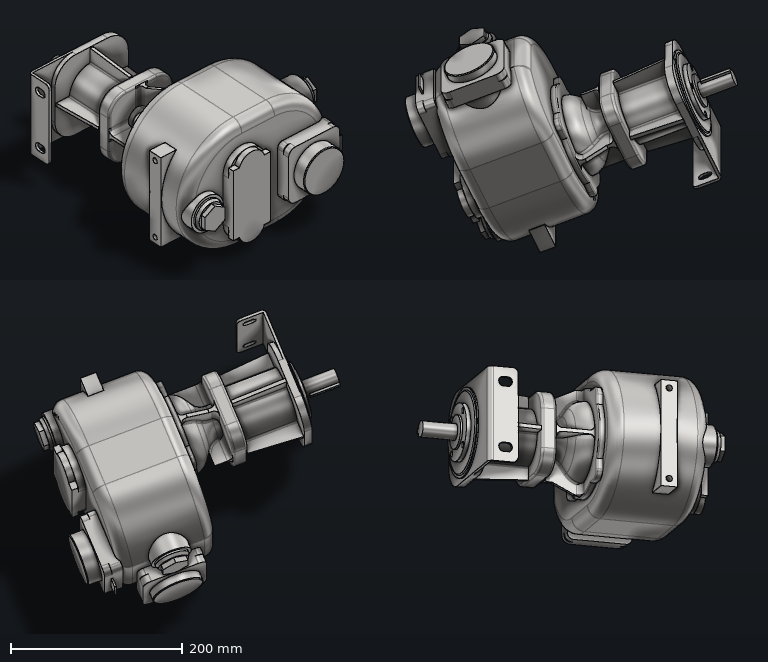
import cadquery as cq
import math

OVERLAP = 3.5
TOLERANCE = 0.2

SHAFT_RADIUS = 10.0
SHAFT_END = 43.5
KEY_LENGTH = 38.0
KEY_WIDTH = 6.2
KEY_TOP = 12.5
SEAL_START, SEAL_RADIUS = 42.5, 20.5
COVER_START, COVER_RADIUS = 45.0, 34.5
DISC_START, DISC_RADIUS, DISC_CHAMFER = 50.5, 51.5, 3.0
LIP_START, LIP_RADIUS = 52.0, 53.5
COVER_HOLE_SPACING = 41.5
COVER_HOLE_RADIUS = 3.5

BRACKET_START = 54.0
SHEET = 3.5
BRACKET_HEIGHT = 115.0
BEND_RADIUS = 6.0
FOOT_Y = -90.2
FOOT_END = 90.2
BRACKET_CORNER = 32.7
FOOT_CORNER = 6.5
SLOT_X, SLOT_SPACING = 74.5, 79.5
SLOT_LENGTH, SLOT_WIDTH = 16.5, 11.3

REAR_FLANGE_END = 63.5
BARREL_RADIUS = 35.0
RIB_WIDTH = 4.7
RIB_FILLET = 2.2
RIB_ROOT = 55.5
COLLAR_START, COLLAR_END = 132.0, 150.5
COLLAR_SIDE, COLLAR_CORNER, COLLAR_EDGE = 101.0, 26.5, 3.0

NECK_RADIUS = 22.0
NECK_END = 157.5
CONE_START, CONE_END = (171.5, 29.0), (178.3, 39.0)
FLARE_START, FLARE_END, FLARE_HEIGHT = 161.0, 188.5, 63.3
SHORT_RIB_END = 173.5
ADAPTER_FLANGE_START = 198.0
ADAPTER_EDGE = 1.5
ADAPTER_RADIUS = 65.0
ADAPTER_SIDE, ADAPTER_CORNER = 112.5, 11.0
BELL_RADIUS = 50.0
ADAPTER_RIB_FILLET = 3.0
RIB_END_ROUND = 7.0

TANK_START, TANK_END = 205.5, 326.7
TANK_HEIGHT = 178.0
TANK_RADIUS = TANK_HEIGHT / 2
TANK_FACE_Y = 136.8
TOP_ARC_Y, BOTTOM_ARC_Y = 51.3, 56.8
TANK_EDGE = 15.3

BAR_START, BAR_WIDTH = 266.0, 20.0
BAR_TOP, BAR_BOTTOM = 59.5, -69.0
BAR_DEPTH = 32.7
BAR_HOLE_INSET, BAR_HOLE_RADIUS, BAR_HOLE_DEPTH = 9.5, 3.5, 14.5

PORT_SIDE, PORT_RADIUS = 80.0, 31.5
INNER_CORNER, OUTER_CORNER = 7.5, 10.5
PORT_RIM = 1.0
OUTLET_X, OUTLET_Z = 265.5, -36.0
OUTLET_FLANGE_START, OUTLET_SEAM, OUTLET_FLANGE_END, OUTLET_TIP = 134.0, 145.5, 155.5, 166.0
INLET_Y, INLET_Z = 96.0, -7.3
INLET_SEAM, INLET_FLANGE_END, INLET_TIP = 337.0, 346.0, 363.8
PORT_ROOT = 25.5

TAB_X, TAB_SHEET, TAB_HEIGHT, TAB_TIP_Y = 335.8, 2.2, 29.0, 147.0

PLUG_NECK_RADIUS = 25.0
PLUG_RADIUS, PLUG_RIM, PLUG_TIP_RADIUS, PLUG_HEIGHT = 21.0, 2.5, 19.0, 7.0
HEX_FLATS, HEX_HEIGHT = 31.3, 6.5
FILLER_Z, FILLER_NECK_END = 28.5, 144.5
DRAIN_Y, DRAIN_NECK_END = -62.0, 335.8
PLUG_NECK_ROOT = 43.5

PAD_WIDTH, PAD_HEIGHT, PAD_STEP, PAD_END = 58.2, 129.0, 336.0, 344.5
PAD_TONGUE_WIDTH, PAD_SHOULDER_HEIGHT = 40.7, 100.5


def along_x(start, y=0.0, z=0.0):
    """Sketch plane facing +X: local x is Y and local y is Z."""
    return cq.Workplane("YZ", origin=(start, y, z))


def along_y(start, x, z):
    """Sketch plane facing +Y: local x is -X and local y is Z."""
    return cq.Workplane(cq.Plane(origin=(x, start, z), xDir=(-1, 0, 0), normal=(0, 1, 0)))


def cylinder(start, end, radius):
    return along_x(start).circle(radius).extrude(end - start)


def rounded_square(start, end, side, corner):
    return along_x(start).rect(side, side).extrude(end - start).edges("|X").fillet(corner)


def shaft_and_cover():
    key = cq.Workplane("XY").box(KEY_LENGTH, KEY_TOP, KEY_WIDTH, centered=(False, False, True))
    disc = cylinder(DISC_START, BRACKET_START, DISC_RADIUS).faces("<X").chamfer(DISC_CHAMFER)
    lip = cylinder(LIP_START, BRACKET_START, LIP_RADIUS)
    cover = cylinder(COVER_START, DISC_START, COVER_RADIUS)
    holes = (
        along_x(COVER_START)
        .rect(COVER_HOLE_SPACING, COVER_HOLE_SPACING, forConstruction=True)
        .vertices()
        .circle(COVER_HOLE_RADIUS)
        .extrude(DISC_START - COVER_START)
    )
    body = cylinder(0, SHAFT_END, SHAFT_RADIUS).union(key)
    body = body.union(cylinder(SEAL_START, COVER_START, SEAL_RADIUS))
    return body.union(cover.cut(holes)).union(disc).union(lip)


def bracket():
    half = BRACKET_HEIGHT / 2
    plate_width = half - FOOT_Y
    plate = (
        along_x(BRACKET_START, y=FOOT_Y)
        .rect(plate_width, BRACKET_HEIGHT, centered=(False, True))
        .extrude(SHEET)
        .edges("|X and >Y")
        .fillet(BRACKET_CORNER)
    )
    foot = (
        cq.Workplane("XY", origin=(BRACKET_START, FOOT_Y, -half))
        .box(FOOT_END - BRACKET_START, SHEET, BRACKET_HEIGHT, centered=False)
        .edges("|Y and >X")
        .fillet(FOOT_CORNER)
    )
    slots = (
        along_y(FOOT_Y, SLOT_X, 0)
        .pushPoints([(0, -SLOT_SPACING / 2), (0, SLOT_SPACING / 2)])
        .slot2D(SLOT_LENGTH, SLOT_WIDTH)
        .extrude(SHEET)
    )
    angle = plate.union(foot).cut(slots)
    return angle.edges("|Z and <X and <Y").fillet(BEND_RADIUS)


def housing_rib(angle):
    """Thin tapered rib on the barrel, turned about the shaft axis."""
    rib = (
        cq.Workplane("XZ", origin=(0, RIB_WIDTH / 2, 0))
        .moveTo(REAR_FLANGE_END, 0)
        .lineTo(REAR_FLANGE_END, RIB_ROOT)
        .lineTo(COLLAR_START, COLLAR_SIDE / 2)
        .lineTo(COLLAR_START, 0)
        .close()
        .extrude(RIB_WIDTH)
    )
    return rib.rotate((0, 0, 0), (1, 0, 0), angle)


def bearing_housing():
    plate_start = BRACKET_START + SHEET
    body = rounded_square(plate_start, REAR_FLANGE_END, BRACKET_HEIGHT, BRACKET_CORNER)
    body = body.union(cylinder(plate_start, COLLAR_START, BARREL_RADIUS))
    for quarter in range(4):
        body = body.union(housing_rib(90 * quarter))

    inner_corners = cq.selectors.BoxSelector(
        (plate_start, -BARREL_RADIUS, -BARREL_RADIUS), (COLLAR_START, BARREL_RADIUS, BARREL_RADIUS)
    )
    body = body.edges("|X").edges(inner_corners).fillet(RIB_FILLET)
    collar = rounded_square(COLLAR_START, COLLAR_END, COLLAR_SIDE, COLLAR_CORNER)
    collar = collar.faces("<X or >X").edges().fillet(COLLAR_EDGE)
    return body.union(collar)


def adapter_rib(angle, outline, width=RIB_WIDTH):
    """Flat web from the shaft axis out to the given (x, radius) outline."""
    rib = (
        cq.Workplane("XZ", origin=(0, width / 2, 0))
        .moveTo(outline[0][0], 0)
        .polyline(outline, includeCurrent=True)
        .lineTo(outline[-1][0], 0)
        .close()
        .extrude(width)
    )
    return rib.rotate((0, 0, 0), (1, 0, 0), angle)


def bell():
    """Neck that flares smoothly into the domed back of the adapter flange."""
    return (
        cq.Workplane("XY")
        .moveTo(COLLAR_END, 0)
        .lineTo(COLLAR_END, NECK_RADIUS)
        .lineTo(NECK_END, NECK_RADIUS)
        .tangentArcPoint(CONE_START, relative=False)
        .lineTo(*CONE_END)
        .tangentArcPoint((ADAPTER_FLANGE_START, BELL_RADIUS), relative=False)
        .lineTo(ADAPTER_FLANGE_START, 0)
        .close()
        .revolve(360, (0, 0, 0), (1, 0, 0))
    )


def adapter_flange():
    disc = cylinder(ADAPTER_FLANGE_START, TANK_START, ADAPTER_RADIUS)
    ears = rounded_square(ADAPTER_FLANGE_START, TANK_START, ADAPTER_SIDE, ADAPTER_CORNER)
    return disc.union(ears).edges("<X").fillet(ADAPTER_EDGE)


def adapter_rib_ends(angle, outline):
    """The same web, widened by concave rounds where it meets the collar and the flange."""
    thin = RIB_WIDTH / 2
    wide = thin + RIB_END_ROUND
    arc_dip = RIB_END_ROUND * (1 - math.sqrt(0.5))
    start, end = COLLAR_END, ADAPTER_FLANGE_START
    plan = (
        cq.Workplane("XY")
        .moveTo(start, 0)
        .lineTo(start, wide)
        .threePointArc((start + arc_dip, thin + arc_dip), (start + RIB_END_ROUND, thin))
        .lineTo(end - RIB_END_ROUND, thin)
        .threePointArc((end - arc_dip, thin + arc_dip), (end, wide))
        .lineTo(end, 0)
        .close()
        .extrude(ADAPTER_RADIUS)
    )
    plan = plan.union(plan.mirror("XZ")).rotate((0, 0, 0), (1, 0, 0), angle)
    return adapter_rib(angle, outline, 2 * wide).intersect(plan)


def is_rib_root(edge):
    """True for an edge where a side of an adapter rib runs along the bell."""
    middle = edge.Center()
    off_centre = min(abs(middle.y), abs(middle.z))
    on_rib_side = math.isclose(off_centre, RIB_WIDTH / 2, abs_tol=TOLERANCE)
    inside = math.hypot(middle.y, middle.z) < BELL_RADIUS - ADAPTER_RIB_FILLET
    return on_rib_side and inside and middle.x < ADAPTER_FLANGE_START - TOLERANCE


def adapter():
    rib_height = COLLAR_SIDE / 2
    flared = [
        (COLLAR_END, rib_height),
        (FLARE_START, rib_height),
        (FLARE_END, FLARE_HEIGHT),
        (ADAPTER_FLANGE_START, FLARE_HEIGHT),
    ]
    straight = [(COLLAR_END, rib_height), (ADAPTER_FLANGE_START, rib_height)]
    short = [(COLLAR_END, rib_height), (SHORT_RIB_END, rib_height)]
    ribs = [(0, flared), (180, flared), (270, short), (90, straight)]
    body = bell()
    for angle, outline in ribs[:3]:
        body = body.union(adapter_rib(angle, outline))
    body = body.edges("not #X").filter(is_rib_root).fillet(ADAPTER_RIB_FILLET)
    for angle, outline in ribs:
        body = body.union(adapter_rib_ends(angle, outline))
    return body.union(adapter_flange())


def tank():
    top_drop = math.sqrt(TANK_RADIUS**2 - (TANK_FACE_Y - TOP_ARC_Y) ** 2)
    bottom_drop = math.sqrt(TANK_RADIUS**2 - (TANK_FACE_Y - BOTTOM_ARC_Y) ** 2)
    diagonal = TANK_RADIUS * math.sqrt(0.5)
    return (
        along_x(TANK_START)
        .moveTo(0, TANK_RADIUS)
        .lineTo(TOP_ARC_Y, TANK_RADIUS)
        .threePointArc((TOP_ARC_Y + diagonal, diagonal), (TANK_FACE_Y, top_drop))
        .lineTo(TANK_FACE_Y, -bottom_drop)
        .threePointArc((BOTTOM_ARC_Y + diagonal, -diagonal), (BOTTOM_ARC_Y, -TANK_RADIUS))
        .lineTo(0, -TANK_RADIUS)
        .threePointArc((-TANK_RADIUS, 0), (0, TANK_RADIUS))
        .close()
        .extrude(TANK_END - TANK_START)
        .faces("<X or >X")
        .edges()
        .fillet(TANK_EDGE)
    )


def foot_bar():
    return cq.Workplane("XY", origin=(BAR_START, FOOT_Y, BAR_BOTTOM)).box(
        BAR_WIDTH, BAR_DEPTH, BAR_TOP - BAR_BOTTOM, centered=False
    )


def foot_bar_holes():
    heights = (BAR_TOP - BAR_HOLE_INSET, BAR_BOTTOM + BAR_HOLE_INSET)
    return (
        along_y(FOOT_Y, BAR_START + BAR_WIDTH / 2, 0)
        .pushPoints([(0, height) for height in heights])
        .circle(BAR_HOLE_RADIUS)
        .extrude(BAR_HOLE_DEPTH)
    )


def pipe_port(plane, axis, flange_start, seam, flange_end, tip):
    """Pair of square flanges with a round pipe stub, set out along the named axis."""
    body = plane.workplane(offset=flange_start - PORT_ROOT).circle(PORT_RADIUS)
    body = body.extrude(tip - flange_start + PORT_ROOT).faces(">" + axis).chamfer(PORT_RIM)
    for start, end, corner in (
        (flange_start, seam, INNER_CORNER),
        (seam, flange_end, OUTER_CORNER),
    ):
        plate = plane.workplane(offset=start).rect(PORT_SIDE, PORT_SIDE).extrude(end - start)
        body = body.union(plate.edges("|" + axis).fillet(corner))
    return body


def outlet():
    plane = along_y(0, OUTLET_X, OUTLET_Z)
    return pipe_port(plane, "Y", OUTLET_FLANGE_START, OUTLET_SEAM, OUTLET_FLANGE_END, OUTLET_TIP)


def inlet():
    plane = along_x(0, INLET_Y, INLET_Z)
    flange_start = TANK_END - OVERLAP
    tab = cq.Workplane("XY", origin=(TAB_X, INLET_Y, INLET_Z)).box(
        TAB_SHEET, TAB_TIP_Y - INLET_Y, TAB_HEIGHT, centered=(False, False, True)
    )
    return pipe_port(plane, "X", flange_start, INLET_SEAM, INLET_FLANGE_END, INLET_TIP).union(tab)


def plugged_neck(plane, neck_end):
    """Round neck closed by a plug with a tapered collar and a hexagon head."""
    neck = plane.workplane(offset=neck_end - PLUG_NECK_ROOT)
    neck = neck.circle(PLUG_NECK_RADIUS).extrude(PLUG_NECK_ROOT)
    rim = plane.workplane(offset=neck_end).circle(PLUG_RADIUS).extrude(PLUG_RIM)
    collar = plane.workplane(offset=neck_end + PLUG_RIM).circle(PLUG_RADIUS)
    collar = collar.workplane(offset=PLUG_HEIGHT - PLUG_RIM).circle(PLUG_TIP_RADIUS).loft()
    head = (
        plane.workplane(offset=neck_end + PLUG_HEIGHT)
        .transformed(rotate=(0, 0, 90))
        .polygon(6, HEX_FLATS / math.cos(math.pi / 6))
        .extrude(HEX_HEIGHT)
    )
    return neck.union(rim).union(collar).union(head)


def end_pad():
    neck_start = TANK_END - OVERLAP
    neck = (
        along_x(neck_start, z=INLET_Z)
        .slot2D(PAD_HEIGHT, PAD_WIDTH, 90)
        .extrude(PAD_STEP - neck_start)
    )
    thickness = PAD_END - PAD_STEP
    plane = along_x(PAD_STEP, z=INLET_Z)
    shoulders = plane.rect(PAD_WIDTH, PAD_SHOULDER_HEIGHT).extrude(thickness)
    tongue = plane.slot2D(PAD_HEIGHT, PAD_TONGUE_WIDTH, 90).extrude(thickness)
    return neck.union(shoulders).union(tongue)


result = (
    tank()
    .union(foot_bar())
    .cut(foot_bar_holes())
    .union(outlet())
    .union(inlet())
    .union(plugged_neck(along_y(0, OUTLET_X, FILLER_Z), FILLER_NECK_END))
    .union(plugged_neck(along_x(0, DRAIN_Y, INLET_Z), DRAIN_NECK_END))
    .union(end_pad())
    .union(adapter())
    .union(bearing_housing())
    .union(bracket())
    .union(shaft_and_cover())
)